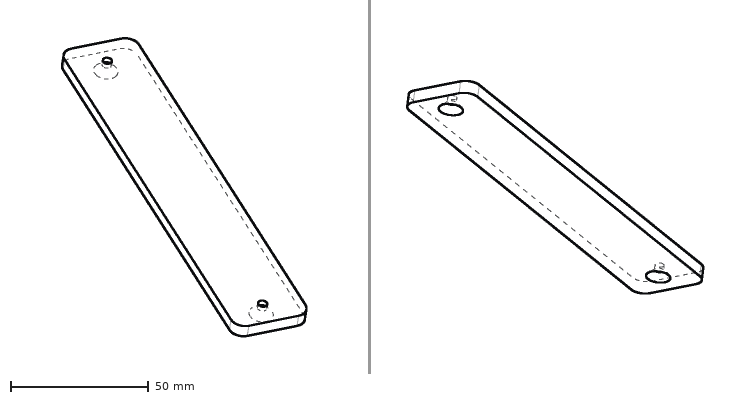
import cadquery as cq

length = 159.8
width = 29.9
thickness = 5.0
corner_radius = 5.0
tilt_angle = 7.5

hole_diameter = 3.4
countersink_diameter = 9.0
countersink_angle = 90
hole_end_distance = 9.9
hole_x = length / 2 - hole_end_distance


def make_plate():
    """Flat plate centred on the origin, with rounded corners."""
    return cq.Workplane("XY").box(length, width, thickness).edges("|Z").fillet(corner_radius)


def cut_mounting_holes(plate):
    """Cut a countersunk through hole near each end, entering from below."""
    return (
        plate.faces("<Z")
        .workplane(centerOption="CenterOfBoundBox")
        .pushPoints([(-hole_x, 0), (hole_x, 0)])
        .cskHole(hole_diameter, countersink_diameter, countersink_angle)
    )


flat_plate = cut_mounting_holes(make_plate())
result = flat_plate.rotate((0, 0, 0), (1, 0, 0), -tilt_angle)